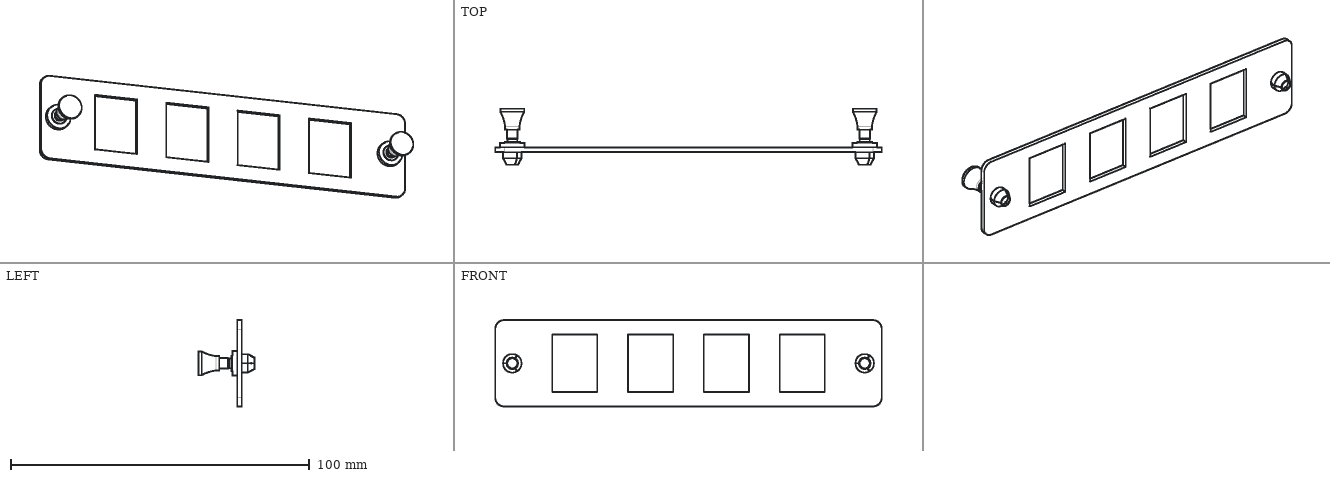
import cadquery as cq

FULL_TURN = 360

PANEL_LENGTH = 129.5
PANEL_HEIGHT = 29.0
PANEL_THICKNESS = 1.5
PANEL_CORNER_RADIUS = 3.1

WINDOW_COUNT = 4
WINDOW_PITCH = 25.4
WINDOW_WIDTH = 15.0
WINDOW_HEIGHT = 19.2

FASTENER_SPACING = 118.0
FASTENER_CENTRES = [-FASTENER_SPACING / 2, FASTENER_SPACING / 2]

NOSE_RADIUS = 3.1
NOSE_TIP_RADIUS = 2.0
NOSE_STRAIGHT_LENGTH = 2.1
NOSE_LENGTH = 4.3
FLANGE_RADIUS = 4.1
FLANGE_THICKNESS = 1.5
BORE_RADIUS = 1.7
SLIT_COUNT = 3
SLIT_WIDTH = 0.1
FIRST_SLIT_ANGLE = 60
BOSS_RADIUS = 2.6
BOSS_HEIGHT = 0.4

TOTAL_DEPTH = 18.8
NECK_RADIUS = BORE_RADIUS
PIN_TIP_RECESS = 1.0
NECK_LENGTH = 0.8
STEM_RADIUS = 1.8
STEM_LENGTH = 3.2
STEM_CHAMFER_LENGTH = 0.4
COLLAR_RADIUS = 2.5
COLLAR_LENGTH = 1.2
KNOB_RADIUS = 4.0
KNOB_RIM_LENGTH = 1.0
FLARE_MID_RADIUS = 3.0

NOSE_TIP_Y = -NOSE_LENGTH
PIN_TIP_Y = NOSE_TIP_Y + PIN_TIP_RECESS
FLANGE_BACK_Y = PANEL_THICKNESS + FLANGE_THICKNESS
BOSS_BACK_Y = FLANGE_BACK_Y + BOSS_HEIGHT
NECK_END_Y = BOSS_BACK_Y + NECK_LENGTH
STEM_END_Y = NECK_END_Y + STEM_LENGTH
COLLAR_END_Y = STEM_END_Y + COLLAR_LENGTH
KNOB_BACK_Y = NOSE_TIP_Y + TOTAL_DEPTH
FLARE_END_Y = KNOB_BACK_Y - KNOB_RIM_LENGTH
FLARE_MID_Y = (COLLAR_END_Y + FLARE_END_Y) / 2


def revolve_about_y(outline, x):
    """Revolve a closed radius-and-Y outline about the Y axis and move it to x."""
    return outline.close().revolve(FULL_TURN, (0, 0, 0), (0, 1, 0)).translate((x, 0, 0))


def extrude_through_panel(sketch):
    """Extrude an XZ sketch from the panel's front face to its back face."""
    return sketch.extrude(-PANEL_THICKNESS)


def make_panel():
    plate = extrude_through_panel(cq.Workplane("XZ").rect(PANEL_LENGTH, PANEL_HEIGHT))
    plate = plate.edges("|Y").fillet(PANEL_CORNER_RADIUS)
    windows = extrude_through_panel(
        cq.Workplane("XZ")
        .rarray(WINDOW_PITCH, 1.3, WINDOW_COUNT, 1)
        .rect(WINDOW_WIDTH, WINDOW_HEIGHT)
    )
    fastener_holes = extrude_through_panel(
        cq.Workplane("XZ").pushPoints([(x, 0) for x in FASTENER_CENTRES]).circle(NOSE_RADIUS)
    )
    return plate.cut(windows).cut(fastener_holes)


def make_slit(x, angle):
    """Radial cutter for the nose, one end on the fastener axis; the angle runs from +X towards +Z."""
    slit = cq.Workplane("XY").box(FLANGE_RADIUS, NOSE_LENGTH, SLIT_WIDTH, centered=(False, False, True))
    return slit.translate((0, NOSE_TIP_Y, 0)).rotate((0, 0, 0), (0, 1, 0), -angle).translate((x, 0, 0))


def make_grommet(x):
    outline = (
        cq.Workplane("XY")
        .moveTo(BORE_RADIUS, NOSE_TIP_Y)
        .lineTo(NOSE_TIP_RADIUS, NOSE_TIP_Y)
        .lineTo(NOSE_RADIUS, -NOSE_STRAIGHT_LENGTH)
        .lineTo(NOSE_RADIUS, PANEL_THICKNESS)
        .lineTo(FLANGE_RADIUS, PANEL_THICKNESS)
        .lineTo(FLANGE_RADIUS, FLANGE_BACK_Y)
        .lineTo(BOSS_RADIUS, FLANGE_BACK_Y)
        .lineTo(BOSS_RADIUS, BOSS_BACK_Y)
        .lineTo(BORE_RADIUS, BOSS_BACK_Y)
    )
    grommet = revolve_about_y(outline, x)
    for i in range(SLIT_COUNT):
        grommet = grommet.cut(make_slit(x, FIRST_SLIT_ANGLE + i * FULL_TURN / SLIT_COUNT))
    return grommet


def make_plunger(x):
    outline = (
        cq.Workplane("XY")
        .moveTo(0, PIN_TIP_Y)
        .lineTo(NECK_RADIUS, PIN_TIP_Y)
        .lineTo(NECK_RADIUS, NECK_END_Y)
        .lineTo(STEM_RADIUS, NECK_END_Y + STEM_CHAMFER_LENGTH)
        .lineTo(STEM_RADIUS, STEM_END_Y)
        .lineTo(COLLAR_RADIUS, STEM_END_Y)
        .lineTo(COLLAR_RADIUS, COLLAR_END_Y)
        .threePointArc((FLARE_MID_RADIUS, FLARE_MID_Y), (KNOB_RADIUS, FLARE_END_Y))
        .lineTo(KNOB_RADIUS, KNOB_BACK_Y)
        .lineTo(0, KNOB_BACK_Y)
    )
    return revolve_about_y(outline, x)


panel = make_panel()
grommets = [make_grommet(x) for x in FASTENER_CENTRES]
plungers = [make_plunger(x) for x in FASTENER_CENTRES]

result = cq.Compound.makeCompound(
    [panel.val()] + [body.val() for body in grommets + plungers]
)